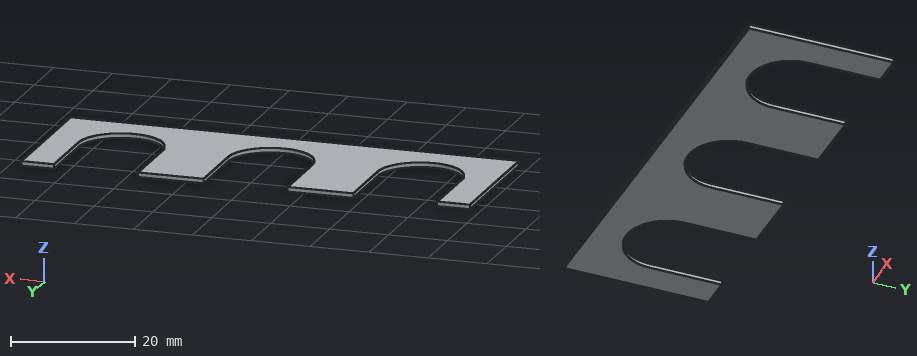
import cadquery as cq

slot_pitch = 25.4
slot_count = 3
slot_width = 14.2
plate_thickness = 0.81

plate_length = slot_count * slot_pitch
plate_width = slot_pitch
slot_radius = slot_width / 2
slot_open_length = plate_width / 2


def make_plate():
    """Flat rectangular plate centred in X and Y, resting on Z = 0."""
    return cq.Workplane("XY").box(
        plate_length, plate_width, plate_thickness, centered=(True, True, False)
    )


def make_slot(center_x):
    """Cutter for a U-shaped slot: round end at mid-width, open toward +Y."""
    return (
        cq.Workplane("XY")
        .moveTo(center_x - slot_radius, slot_open_length)
        .lineTo(center_x - slot_radius, 0)
        .threePointArc((center_x, -slot_radius), (center_x + slot_radius, 0))
        .lineTo(center_x + slot_radius, slot_open_length)
        .close()
        .extrude(plate_thickness)
    )


result = make_plate()
for index in range(slot_count):
    slot_x = (index - (slot_count - 1) / 2) * slot_pitch
    result = result.cut(make_slot(slot_x))